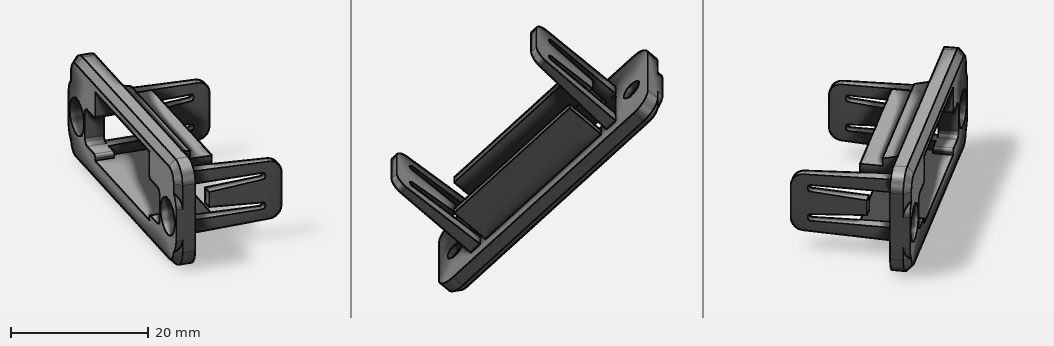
import cadquery as cq
import math


length = 44.0
height = 16.75
thickness = 3.0
corner_radius = 3.0
edge_chamfer = 1.0

axis_z = -0.9

land_height = 11.0

screw_spacing = 37.1
screw_diameter = 3.2
counterbore_diameter = 5.7
counterbore_depth = 2.0

window_width = 22.13
window_bottom = -4.7
notch_span = 30.55
notch_height = 5.8
notch_corner_radius = 0.9
notch_lip_radius = 0.5

hood_width = 24.33
hood_root_top = 6.55
hood_drop = 0.75
hood_depth = 3.0
roof_height = 1.0
ceiling_root = hood_root_top - roof_height
hood_wall = 0.75
shelf_top = 4.6
shelf_bottom = 3.12
floor_thickness = 1.2
shelf_end = 9.33

leg_end = 19.0
leg_tip_width = 1.15
leg_root_width = 2.0
leg_tip_height = 9.05
leg_root_height = 10.05
leg_corner_radius = 2.0
slot_end = 16.5
slot_end_radius = 0.53
tongue_end = 7.7
tongue_end_height = 2.4


def block(x_span, y_start, y_end, z_low, z_high):
    """Box centred on X = 0."""
    return (
        cq.Workplane("XY")
        .box(x_span, y_end - y_start, z_high - z_low, centered=(True, False, False))
        .translate((0, y_start, z_low))
    )


def side_profile(points, x_start, x_width):
    """Prism along X from an outline of (y, z) points."""
    return cq.Workplane("YZ").workplane(offset=x_start).polyline(points).close().extrude(x_width)


def make_plate():
    plate = (
        block(length, 0, thickness, -height / 2, height / 2)
        .edges("|Y").fillet(corner_radius)
        .faces("<Y").edges().chamfer(edge_chamfer)
    )
    land = (
        block(length, 0, thickness, axis_z - land_height / 2, axis_z + land_height / 2)
        .edges("|Y").fillet(corner_radius)
    )
    return plate.union(land)


def make_opening():
    """Stepped opening through the plate: the window with a notch at each end."""
    notches = (
        block(notch_span, 0, thickness, axis_z - notch_height / 2, axis_z + notch_height / 2)
        .edges("|Y").fillet(notch_corner_radius)
    )
    window = block(window_width, 0, thickness, window_bottom, ceiling_root)
    opening = notches.union(window)
    lips_reach = window_width / 2 + notch_lip_radius
    lips_half_height = (notch_height + notch_lip_radius) / 2
    lips = cq.selectors.BoxSelector(
        (-lips_reach, 0, axis_z - lips_half_height),
        (lips_reach, thickness, axis_z + lips_half_height),
    )
    return opening.edges("|Y").edges(lips).fillet(notch_lip_radius)


def make_hood():
    """Solid block of the sloped hood with the shelf behind it, before the cavity is cut."""
    wall_end = thickness + hood_depth
    return side_profile(
        [
            (thickness, shelf_bottom),
            (thickness, hood_root_top),
            (wall_end, hood_root_top - hood_drop),
            (wall_end, shelf_top),
            (shelf_end, shelf_top),
            (shelf_end, shelf_bottom),
        ],
        -hood_width / 2,
        hood_width,
    )


def make_hood_cavity():
    """Space under the sloped roof, running forward through the plate to its front face."""
    slope = hood_drop / hood_depth
    wall_start = thickness + hood_depth - hood_wall
    return side_profile(
        [
            (0, window_bottom),
            (0, ceiling_root + slope * thickness),
            (wall_start, ceiling_root - slope * (wall_start - thickness)),
            (wall_start, window_bottom),
        ],
        -window_width / 2,
        window_width,
    )


def make_leg_gap():
    """Gap around the tongue: two slots with round ends, their inner sides tangent to the rounds."""
    half_gap = notch_height / 2
    half_tip = tongue_end_height / 2
    round_y = slot_end - slot_end_radius
    round_z = half_gap - slot_end_radius
    run = round_y - tongue_end
    rise = round_z - half_tip
    flank_angle = math.atan2(rise, run) - math.asin(slot_end_radius / math.hypot(run, rise))
    touch_y = round_y + slot_end_radius * math.sin(flank_angle)
    touch_z = round_z - slot_end_radius * math.cos(flank_angle)
    return (
        cq.Workplane("YZ", origin=(-length / 2, 0, axis_z))
        .moveTo(thickness, half_gap)
        .lineTo(round_y, half_gap)
        .threePointArc((slot_end, round_z), (touch_y, touch_z))
        .lineTo(tongue_end, half_tip)
        .lineTo(tongue_end, -half_tip)
        .lineTo(touch_y, -touch_z)
        .threePointArc((slot_end, -round_z), (round_y, -half_gap))
        .lineTo(thickness, -half_gap)
        .close()
        .extrude(length)
    )


def make_leg():
    """Leg on the -X side: a tapered frame around a tongue that points back at the plate."""
    outer_x = -notch_span / 2
    leg = (
        side_profile(
            [
                (thickness, axis_z - leg_root_height / 2),
                (thickness, axis_z + leg_root_height / 2),
                (leg_end, axis_z + leg_tip_height / 2),
                (leg_end, axis_z - leg_tip_height / 2),
            ],
            outer_x,
            leg_root_width,
        )
        .faces(">Y").edges("|X").fillet(leg_corner_radius)
    )
    taper = (
        cq.Workplane("XY")
        .polyline(
            [
                (outer_x, thickness),
                (outer_x + leg_root_width, thickness),
                (outer_x + leg_tip_width, leg_end),
                (outer_x, leg_end),
            ]
        )
        .close()
        .extrude(height, both=True)
    )
    return leg.cut(make_leg_gap()).intersect(taper)


def make_screw_hole(x):
    axis = cq.Workplane("XZ", origin=(x, 0, axis_z))
    hole = axis.circle(screw_diameter / 2).extrude(-thickness)
    counterbore = axis.circle(counterbore_diameter / 2).extrude(-counterbore_depth)
    return hole.union(counterbore)


floor = block(hood_width, thickness, shelf_end, window_bottom - floor_thickness, window_bottom)
left_leg = make_leg()
right_leg = left_leg.mirror("YZ")

result = make_plate().cut(make_opening())
result = result.union(make_hood()).union(floor).cut(make_hood_cavity())
result = result.union(left_leg).union(right_leg)
for side in (-1, 1):
    result = result.cut(make_screw_hole(side * screw_spacing / 2))